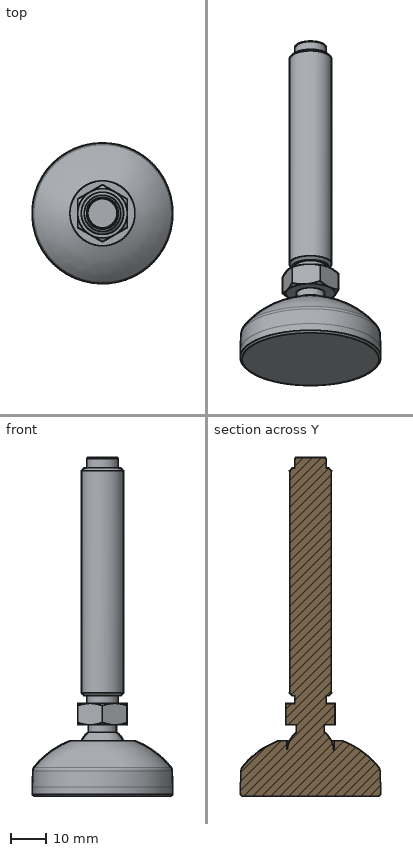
import cadquery as cq
import math

foot_radius = 20.0
foot_height = 15.8
foot_bottom_chamfer = 0.6
taper_bottom_z = 2.7
rim_top_radius = 19.8
rim_top_z = 7.3
dome_edge_z = 8.2
dome_edge_radius = 19.5
dome_top_radius = 9.2
dome_sphere_radius = 25.0

ball_radius = 6.6
neck_radius = 4.0
neck_bottom_z = 18.2
ball_center_z = neck_bottom_z - math.sqrt(ball_radius**2 - neck_radius**2)

hex_bottom_z = 20.3
hex_top_z = 26.4
hex_across_flats = 14.0
hex_corner_diameter = hex_across_flats / math.cos(math.pi / 6)
hex_chamfer_angle = math.radians(30)

total_height = 96.2
stud_diameter = 12.0
stud_radius = stud_diameter / 2
stud_bottom_z = 28.5
stud_top_z = 93.2
stud_chamfer = 0.9
relief_radius = 4.5
tip_chamfer = 0.4


def arc_midpoint(start, end, radius):
    """Middle of the minor arc that bulges to the left of the line from start to end."""
    dx = end[0] - start[0]
    dz = end[1] - start[1]
    chord = math.hypot(dx, dz)
    rise = radius - math.sqrt(radius**2 - (chord / 2) ** 2)
    mid_x = (start[0] + end[0]) / 2
    mid_z = (start[1] + end[1]) / 2
    return (mid_x - rise * dz / chord, mid_z + rise * dx / chord)


def cylinder(radius, bottom_z, top_z):
    return cq.Workplane("XY").workplane(offset=bottom_z).circle(radius).extrude(top_z - bottom_z)


def make_foot():
    dome_top = (dome_top_radius, foot_height)
    dome_edge = (dome_edge_radius, dome_edge_z)
    dome_middle = arc_midpoint(dome_top, dome_edge, dome_sphere_radius)
    body = (
        cq.Workplane("XZ")
        .lineTo(foot_radius - foot_bottom_chamfer, 0)
        .lineTo(foot_radius, foot_bottom_chamfer)
        .lineTo(foot_radius, taper_bottom_z)
        .lineTo(rim_top_radius, rim_top_z)
        .tangentArcPoint(dome_edge, relative=False)
        .threePointArc(dome_middle, dome_top)
        .lineTo(0, foot_height)
        .close()
        .revolve(360, (0, 0, 0), (0, 1, 0))
    )
    return body.cut(cylinder(ball_radius, ball_center_z, foot_height))


def make_ball_joint():
    ball = cq.Workplane("XY").sphere(ball_radius).translate((0, 0, ball_center_z))
    return ball.union(cylinder(neck_radius, ball_center_z, hex_bottom_z))


def make_hex_collar():
    height = hex_top_z - hex_bottom_z
    prism = cq.Workplane("XY").polygon(6, hex_corner_diameter).extrude(height)
    prism = prism.rotate((0, 0, 0), (0, 0, 1), 90)
    flat_radius = hex_across_flats / 2
    outer_radius = hex_corner_diameter / 2
    chamfer_height = (outer_radius - flat_radius) * math.tan(hex_chamfer_angle)
    envelope = (
        cq.Workplane("XZ")
        .lineTo(flat_radius, 0)
        .lineTo(outer_radius, chamfer_height)
        .lineTo(outer_radius, height - chamfer_height)
        .lineTo(flat_radius, height)
        .lineTo(0, height)
        .close()
        .revolve(360, (0, 0, 0), (0, 1, 0))
    )
    return prism.intersect(envelope).translate((0, 0, hex_bottom_z))


def make_stud():
    relief = cylinder(relief_radius, hex_top_z, stud_bottom_z)
    shank = cylinder(stud_radius, stud_bottom_z, stud_top_z).edges().chamfer(stud_chamfer)
    tip = cylinder(relief_radius, stud_top_z, total_height).faces(">Z").edges().chamfer(tip_chamfer)
    return relief.union(shank).union(tip)


result = make_foot().union(make_ball_joint()).union(make_hex_collar()).union(make_stud())